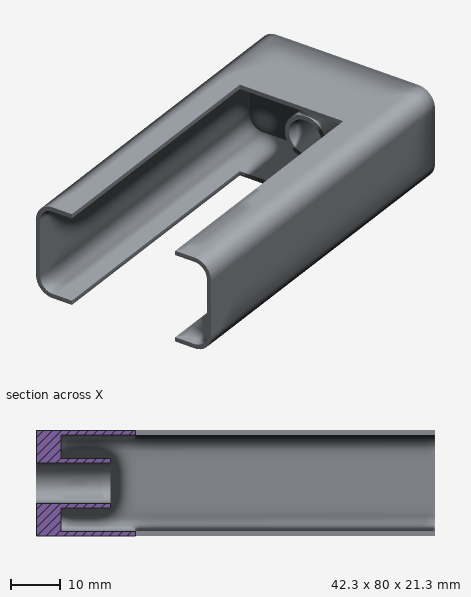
import cadquery as cq

width = 42.3
length = 80.0
height = 21.3
wall = 1.0
end_wall = 5.0
corner_radius = 4.0

slot_width = 25.0
slot_length = 60.0

bore_diameter = 8.0
tube_diameter = bore_diameter + 2 * wall
tube_length = 15.0

open_end_y = -length / 2
closed_end_y = length / 2


def rounded_bar(bar_width, bar_height, radius, bar_length):
    """Rounded rectangular bar running along +Y from the open end."""
    return (
        cq.Workplane("XY")
        .box(bar_width, bar_length, bar_height)
        .edges("|Y")
        .fillet(radius)
        .translate((0, open_end_y + bar_length / 2, 0))
    )


def end_cylinder(diameter, cylinder_length):
    """Cylinder on the sleeve axis, running inward from the closed end."""
    return (
        cq.Workplane("XZ", origin=(0, closed_end_y, 0))
        .circle(diameter / 2)
        .extrude(cylinder_length)
    )


def make_shell():
    outside = rounded_bar(width, height, corner_radius, length)
    cavity = rounded_bar(
        width - 2 * wall, height - 2 * wall, corner_radius - wall, length - end_wall
    )
    return outside.cut(cavity)


def make_slot():
    return (
        cq.Workplane("XY")
        .box(slot_width, slot_length, height)
        .translate((0, open_end_y + slot_length / 2, 0))
    )


sleeve = make_shell().cut(make_slot())
sleeve = sleeve.union(end_cylinder(tube_diameter, tube_length))
result = sleeve.cut(end_cylinder(bore_diameter, tube_length))